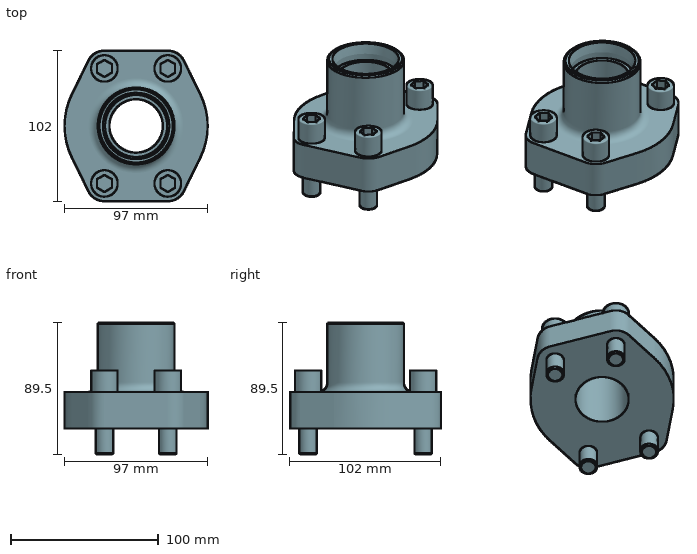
import cadquery as cq
import math

plate_thickness = 25.0
side_radius = 48.5
plate_half_depth = 51.0

bolt_x = 42.9 / 2
bolt_y = 77.8 / 2
corner_radius = plate_half_depth - bolt_y

neck_diameter = 52.0
neck_height = 47.0
neck_top = plate_thickness + neck_height
neck_chamfer = 1.227
foot_radius = 6.0
foot_diameter = neck_diameter + 2 * foot_radius

bore_diameter = 36.0
socket_diameter = 42.0
socket_depth = 11.5
cone_mouth_diameter = 45.0
cone_half_angle = math.radians(12)
cone_depth = (cone_mouth_diameter - socket_diameter) / 2 / math.tan(cone_half_angle)

shank_diameter = 12.0
shank_length = 45.0
shank_chamfer = 1.07
head_diameter = 18.0
head_height = 12.0
head_fillet = 0.7
washer_thickness = 2.5
hex_across_flats = 10.0
hex_across_corners = hex_across_flats / math.cos(math.pi / 6)
hex_depth = 6.0
head_top = plate_thickness + washer_thickness + head_height
shank_bottom = plate_thickness + washer_thickness - shank_length


def polar(radius, angle, center=(0.0, 0.0)):
    """Point at the given radius and angle from a centre."""
    return (
        center[0] + radius * math.cos(angle),
        center[1] + radius * math.sin(angle),
    )


def mirrored(point, sign_x, sign_y):
    return (sign_x * point[0], sign_y * point[1])


def make_plate():
    """Plate outline: side arcs, tangent flanks, rounded corners and flat ends."""
    bolt = (bolt_x, bolt_y)
    flank_normal = math.atan2(bolt_y, bolt_x) - math.acos(
        (side_radius - corner_radius) / math.hypot(bolt_x, bolt_y)
    )
    side_end = polar(side_radius, flank_normal)
    corner_start = polar(corner_radius, flank_normal, bolt)
    corner_middle = polar(corner_radius, (flank_normal + math.pi / 2) / 2, bolt)
    corner_end = (bolt_x, plate_half_depth)

    outline = (
        cq.Workplane("XY")
        .moveTo(*mirrored(side_end, 1, -1))
        .threePointArc((side_radius, 0), side_end)
        .lineTo(*corner_start)
        .threePointArc(corner_middle, corner_end)
        .lineTo(*mirrored(corner_end, -1, 1))
        .threePointArc(mirrored(corner_middle, -1, 1), mirrored(corner_start, -1, 1))
        .lineTo(*mirrored(side_end, -1, 1))
        .threePointArc((-side_radius, 0), mirrored(side_end, -1, -1))
        .lineTo(*mirrored(corner_start, -1, -1))
        .threePointArc(mirrored(corner_middle, -1, -1), mirrored(corner_end, -1, -1))
        .lineTo(*mirrored(corner_end, 1, -1))
        .threePointArc(mirrored(corner_middle, 1, -1), mirrored(corner_start, 1, -1))
        .close()
    )
    return outline.extrude(plate_thickness)


def make_neck():
    """Solid of revolution: chamfered neck flaring into a concave foot fillet."""
    neck_radius = neck_diameter / 2
    fillet_center = (foot_diameter / 2, plate_thickness + foot_radius)
    fillet_middle = polar(foot_radius, math.radians(225), fillet_center)
    return (
        cq.Workplane("XZ")
        .lineTo(foot_diameter / 2, 0)
        .lineTo(foot_diameter / 2, plate_thickness)
        .threePointArc(fillet_middle, (neck_radius, plate_thickness + foot_radius))
        .lineTo(neck_radius, neck_top - neck_chamfer)
        .lineTo(neck_radius - neck_chamfer, neck_top)
        .lineTo(0, neck_top)
        .close()
        .revolve(360, (0, 0, 0), (0, 1, 0))
    )


def make_bore():
    """Cutting body for the through bore, tube socket and sealing cone."""
    socket_floor = neck_top - socket_depth
    return (
        cq.Workplane("XZ")
        .lineTo(bore_diameter / 2, 0)
        .lineTo(bore_diameter / 2, socket_floor)
        .lineTo(socket_diameter / 2, socket_floor)
        .lineTo(socket_diameter / 2, neck_top - cone_depth)
        .lineTo(cone_mouth_diameter / 2, neck_top)
        .lineTo(0, neck_top)
        .close()
        .revolve(360, (0, 0, 0), (0, 1, 0))
    )


def make_screw():
    """Cap screw with its washer, on the Z axis at assembled height."""
    head = (
        cq.Workplane("XY", origin=(0, 0, plate_thickness))
        .circle(head_diameter / 2)
        .extrude(washer_thickness + head_height)
        .faces(">Z")
        .fillet(head_fillet)
    )
    shank = (
        cq.Workplane("XY", origin=(0, 0, shank_bottom))
        .circle(shank_diameter / 2)
        .extrude(shank_length)
        .faces("<Z")
        .chamfer(shank_chamfer)
    )
    hex_socket = (
        cq.Workplane("XY", origin=(0, 0, head_top))
        .transformed(rotate=(0, 0, 90))
        .polygon(6, hex_across_corners)
        .extrude(-hex_depth)
    )
    return head.union(shank).cut(hex_socket)


result = make_plate().union(make_neck()).cut(make_bore())
screw = make_screw()
for sign_x in (-1, 1):
    for sign_y in (-1, 1):
        result = result.union(screw.translate((sign_x * bolt_x, sign_y * bolt_y, 0)))